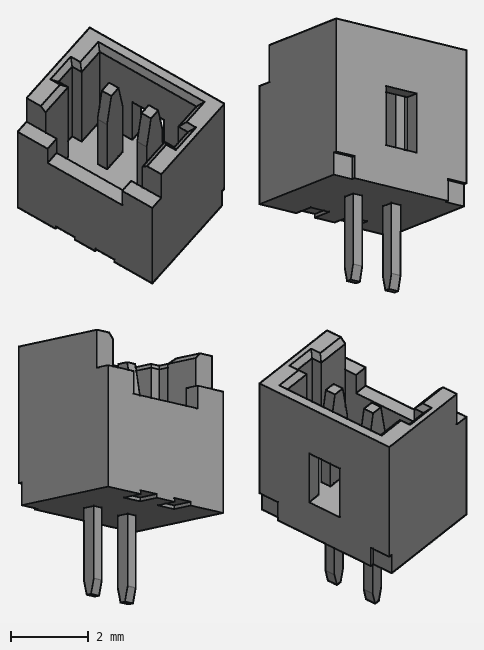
import cadquery as cq


WIDTH = 4.25
DEPTH = 3.2
HEIGHT = 4.2
PIN_TO_BACK = 1.2
BACK_Y = PIN_TO_BACK
FRONT_Y = BACK_Y - DEPTH

SIDE_WALL = 0.6
END_WALL = 0.4
FLOOR_Z = 1.1
RIM_CHAMFER = 0.15
EAR_WALL = 0.3
EAR_LENGTH = 0.6
EAR_BACK_Y = 0.0
CAVITY_WIDTH = WIDTH - 2 * SIDE_WALL
CAVITY_FRONT_Y = FRONT_Y + END_WALL
CAVITY_BACK_Y = BACK_Y - END_WALL

FRONT_WALL_TOP = 3.2
NOTCH_WIDTH = 2.35
NOTCH_BOTTOM = 2.6
WINDOW_WIDTH = 1.0
WINDOW_TOP = 2.7

RELIEF_DEPTH = 0.1
CHANNEL_WIDTH = 0.6
CHANNEL_LENGTH = 0.6
CORNER_RELIEF_SIZE = 0.6

PIN_COUNT = 2
PITCH = 1.25
PIN_THICKNESS = 0.3
BLADE_DEPTH = 0.7
BLADE_TIP_DEPTH = 0.32
BLADE_TOP = 4.0
BLADE_TAPER = 1.0
TAIL_DEPTH = 0.36
TAIL_TIP_DEPTH = 0.16
TAIL_LENGTH = 2.3
TAIL_TAPER = 0.4

PIN_XS = [(i - (PIN_COUNT - 1) / 2) * PITCH for i in range(PIN_COUNT)]


def block(x_range, y_range, z_range):
    """Box spanning the given (low, high) ranges."""
    size = [high - low for low, high in (x_range, y_range, z_range)]
    corner = (x_range[0], y_range[0], z_range[0])
    return cq.Workplane("XY").box(*size, centered=False).translate(corner)


def centred(width, middle=0.0):
    """(low, high) range of the given width about a middle value."""
    return (middle - width / 2, middle + width / 2)


def chamfered_pocket(width, y_range):
    """Pocket from the cavity floor to the rim, flared at 45 degrees along its top edge."""
    flare_z = HEIGHT - RIM_CHAMFER
    shaft = block(centred(width), y_range, (FLOOR_Z, HEIGHT))
    length = y_range[1] - y_range[0]
    flare = (
        cq.Workplane("XY", origin=(0, sum(y_range) / 2, flare_z))
        .rect(width, length)
        .workplane(offset=RIM_CHAMFER)
        .rect(width + 2 * RIM_CHAMFER, length + 2 * RIM_CHAMFER)
        .loft(ruled=True)
    )
    return shaft.union(flare)


def make_cavity():
    """Rectangular cavity with a keying ear halfway along each side."""
    main = chamfered_pocket(CAVITY_WIDTH, (CAVITY_FRONT_Y, CAVITY_BACK_Y))
    ears = chamfered_pocket(WIDTH - 2 * EAR_WALL, (EAR_BACK_Y - EAR_LENGTH, EAR_BACK_Y))
    return main.union(ears)


def make_housing():
    front_wall = (FRONT_Y, CAVITY_FRONT_Y)
    back_wall = (CAVITY_BACK_Y, BACK_Y)
    body = block(centred(WIDTH), (FRONT_Y, BACK_Y), (0, HEIGHT))

    body = body.cut(block(centred(WIDTH), front_wall, (FRONT_WALL_TOP, HEIGHT)))
    body = body.cut(block(centred(NOTCH_WIDTH), front_wall, (NOTCH_BOTTOM, HEIGHT)))
    body = body.cut(make_cavity())

    body = body.cut(block(centred(WINDOW_WIDTH), back_wall, (FLOOR_Z, WINDOW_TOP)))

    for x in PIN_XS:
        channel_y = (FRONT_Y, FRONT_Y + CHANNEL_LENGTH)
        body = body.cut(block(centred(CHANNEL_WIDTH, x), channel_y, (0, RELIEF_DEPTH)))
        body = body.cut(block(centred(PIN_THICKNESS, x), centred(TAIL_DEPTH), (0, FLOOR_Z)))

    relief_middle = (WIDTH - CORNER_RELIEF_SIZE) / 2
    for side in (-1, 1):
        relief_x = centred(CORNER_RELIEF_SIZE, side * relief_middle)
        relief_y = (BACK_Y - RELIEF_DEPTH, BACK_Y)
        body = body.cut(block(relief_x, relief_y, (0, CORNER_RELIEF_SIZE)))
    return body


def make_pin(x):
    """Flat pin: a tapered blade resting on the cavity floor and a narrower tapered tail."""
    half_profile = [
        (BLADE_TIP_DEPTH / 2, BLADE_TOP),
        (BLADE_DEPTH / 2, BLADE_TOP - BLADE_TAPER),
        (BLADE_DEPTH / 2, FLOOR_Z),
        (TAIL_DEPTH / 2, FLOOR_Z),
        (TAIL_DEPTH / 2, TAIL_TAPER - TAIL_LENGTH),
        (TAIL_TIP_DEPTH / 2, -TAIL_LENGTH),
    ]
    mirrored = [(-y, z) for y, z in reversed(half_profile)]
    return (
        cq.Workplane("YZ", origin=(x, 0, 0))
        .polyline(half_profile + mirrored)
        .close()
        .extrude(PIN_THICKNESS / 2, both=True)
    )


housing = make_housing()
pins = [make_pin(x) for x in PIN_XS]

result = cq.Compound.makeCompound([housing.val(), *[pin.val() for pin in pins]])